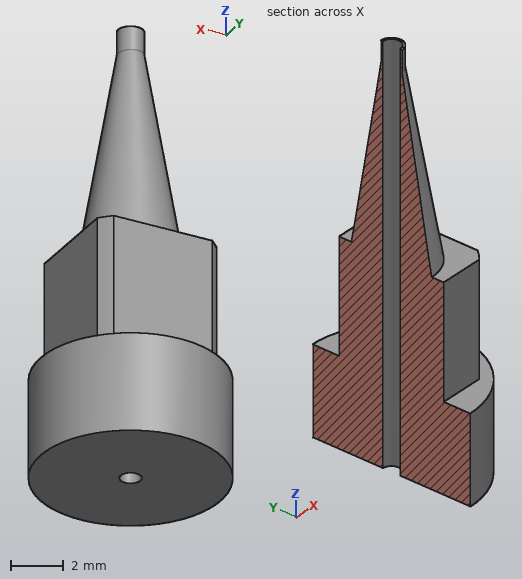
import cadquery as cq

TOTAL_HEIGHT = 19.2

BASE_DIAMETER = 7.8
BASE_HEIGHT = 4.2

BLOCK_WIDTH = 5.18
BLOCK_HEIGHT = 5.37
BLOCK_CORNER_DIAMETER = 6.7

CONE_BASE_DIAMETER = 4.0
TIP_DIAMETER = 1.07
TIP_LENGTH = 1.0
BORE_DIAMETER = 0.86

block_top = BASE_HEIGHT + BLOCK_HEIGHT
cone_top = TOTAL_HEIGHT - TIP_LENGTH


def cylinder(diameter, z_bottom, z_top):
    """Vertical cylinder on the part axis between two levels."""
    height = z_top - z_bottom
    return cq.Workplane("XY").workplane(offset=z_bottom).circle(diameter / 2).extrude(height)


def make_block():
    """Square wrench block whose corners are trimmed by a coaxial cylinder."""
    square = (
        cq.Workplane("XY")
        .workplane(offset=BASE_HEIGHT)
        .rect(BLOCK_WIDTH, BLOCK_WIDTH)
        .extrude(BLOCK_HEIGHT)
    )
    return square.intersect(cylinder(BLOCK_CORNER_DIAMETER, BASE_HEIGHT, block_top))


def make_nozzle():
    """Tapered nozzle ending in a short straight tip."""
    return (
        cq.Workplane("XZ")
        .moveTo(0, block_top)
        .lineTo(CONE_BASE_DIAMETER / 2, block_top)
        .lineTo(TIP_DIAMETER / 2, cone_top)
        .lineTo(TIP_DIAMETER / 2, TOTAL_HEIGHT)
        .lineTo(0, TOTAL_HEIGHT)
        .close()
        .revolve(360, (0, 0, 0), (0, 1, 0))
    )


base = cylinder(BASE_DIAMETER, 0, BASE_HEIGHT)
bore = cylinder(BORE_DIAMETER, 0, TOTAL_HEIGHT)

result = base.union(make_block()).union(make_nozzle()).cut(bore)